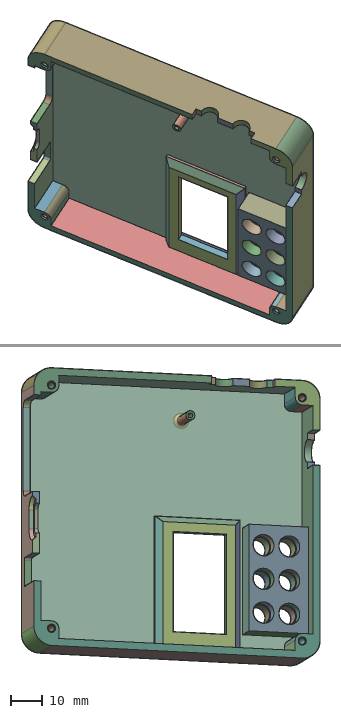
import cadquery as cq
import math


width = 96.0
length = 91.0
depth = 14.8
wall = 2.4
floor = 2.0
corner_radius = 6.0

screw_inset_x = 6.0
screw_inset_z = 5.7
boss_radius = 2.4
screw_diameter = 2.1
screw_mouth_diameter = 2.6
screw_depth = 9.6
screw_mouth_depth = 0.7

post_x = 53.0
post_z = 78.0
post_diameter = 3.0
post_bore = 1.6
post_height = 13.0
post_fillet = 1.0

frame_left = 44.0
frame_right = 72.6
frame_top = 46.4
frame_height = 5.0
frame_bevel = 2.1
window_left = 49.5
window_right = 67.4
window_bottom = 8.4
window_top = 41.2
window_land = 2.3

block_left = 73.6
block_bottom = 9.0
block_top = 44.0
block_height = 9.6
button_columns = 2
button_rows = 3
button_first_x = 78.5
button_first_z = 15.3
button_pitch_x = 8.6
button_pitch_z = 11.0
button_hole = 6.3
button_mouth = 6.9
button_shoulder_height = 5.7

left_rim_height = depth - 1.7
long_notch_bottom = 50.5
long_notch_top = 81.9
long_notch_height = 2.2
long_notch_radius = 2.0
short_notch_bottom = 20.9
short_notch_top = 30.3
short_notch_height = 3.5
short_notch_radius = 0.7
port_z = 41.9
port_straight = 6.2
port_radius = 1.8
port_dish_outer_radius = 4.1
port_dish_inner_radius = 3.1
port_dish_depth = 1.2

right_notch_z = 69.2
right_notch_width = 11.5
right_notch_height = 8.4
right_notch_diameter = 7.3

top_notch_left = 59.6
top_notch_right = 80.9
top_notch_height = depth - 2.6
channel_diameter = 5.8
channel_spacing = 11.4

overcut = 1.0


def block(x0, x1, z0, z1, h0, h1):
    """Box between two X values, two Z values and two heights."""
    return cq.Workplane("XY").box(x1 - x0, h1 - h0, z1 - z0, centered=False).translate((x0, -h1, z0))


def pin(x, z, diameter, h0, h1):
    """Cylinder along Y, centred on (x, z), between two heights."""
    return cq.Workplane("XZ", origin=(x, -h0, z)).circle(diameter / 2).extrude(h1 - h0)


def outer_body():
    return block(0, width, 0, length, 0, depth).edges("|Y").fillet(corner_radius)


def cavity():
    """Interior of the shell, stepping around the rounded corner bosses."""
    return block(wall, width - wall, wall, length - wall, floor, depth).cut(corner_bosses())


def corner_bosses():
    """Four pads filling the corners, each rounded about its screw on the inner side."""
    reach_x = screw_inset_x + boss_radius
    reach_z = screw_inset_z + boss_radius
    pad = block(0, reach_x, 0, reach_z, 0, depth)
    pad = pad.edges("|Y and >X and >Z").fillet(boss_radius)
    pair = pad.union(pad.mirror("YZ", (width / 2, 0, 0)))
    return pair.union(pair.mirror("XY", (0, 0, length / 2)))


def screw_holes():
    """Blind stepped holes, wider at the rim."""
    holes = cq.Workplane("XY")
    for x in (screw_inset_x, width - screw_inset_x):
        for z in (screw_inset_z, length - screw_inset_z):
            holes = holes.union(pin(x, z, screw_diameter, depth - screw_depth, depth))
            holes = holes.union(pin(x, z, screw_mouth_diameter, depth - screw_mouth_depth, depth))
    return holes


def post():
    """Standoff with a fillet flaring into the floor, turned about its own axis."""
    radius = post_diameter / 2
    foot_radius = radius + post_fillet
    profile = (
        cq.Workplane("XY")
        .moveTo(0, 0)
        .lineTo(foot_radius, 0)
        .lineTo(foot_radius, -floor)
        .radiusArc((radius, -floor - post_fillet), -post_fillet)
        .lineTo(radius, -post_height)
        .lineTo(0, -post_height)
        .close()
    )
    return profile.revolve(360, (0, 0, 0), (0, 1, 0)).translate((post_x, 0, post_z))


def display_frame():
    """Raised frame running into the bottom wall, bevelled on its three free sides."""
    shoulder = frame_height - frame_bevel
    base = block(frame_left, frame_right, wall / 2, frame_top, 0, frame_height)
    side_profile = (
        cq.Workplane("XY")
        .moveTo(frame_left, 0)
        .lineTo(frame_left, -shoulder)
        .lineTo(frame_left + frame_bevel, -frame_height)
        .lineTo(frame_right - frame_bevel, -frame_height)
        .lineTo(frame_right, -shoulder)
        .lineTo(frame_right, 0)
        .close()
        .extrude(frame_top)
    )
    top_profile = (
        cq.Workplane("YZ")
        .moveTo(0, 0)
        .lineTo(-frame_height, 0)
        .lineTo(-frame_height, frame_top - frame_bevel)
        .lineTo(-shoulder, frame_top)
        .lineTo(0, frame_top)
        .close()
        .extrude(width)
    )
    return base.intersect(side_profile).intersect(top_profile)


def display_window():
    """Straight window through the frame, flaring at 45 degrees towards the back face."""
    flare = frame_height - window_land
    window = block(window_left, window_right, window_bottom, window_top, 0, frame_height)
    center_x = (window_left + window_right) / 2
    center_z = (window_bottom + window_top) / 2
    size_x = window_right - window_left
    size_z = window_top - window_bottom
    funnel = (
        cq.Workplane("XZ", origin=(center_x, 0, center_z))
        .rect(size_x + 2 * flare, size_z + 2 * flare)
        .workplane(offset=flare)
        .rect(size_x, size_z)
        .loft(ruled=True)
    )
    return window.union(funnel)


def button_block():
    return block(block_left, width - wall / 2, block_bottom, block_top, 0, block_height)


def button_holes():
    """Grid of through holes, narrowed below a shoulder."""
    holes = cq.Workplane("XY")
    for column in range(button_columns):
        for row in range(button_rows):
            x = button_first_x + column * button_pitch_x
            z = button_first_z + row * button_pitch_z
            holes = holes.union(pin(x, z, button_hole, 0, block_height))
            holes = holes.union(pin(x, z, button_mouth, button_shoulder_height, block_height))
    return holes


def left_wall_openings():
    """Lowered rim, the two notches and the connector port in the -X wall."""
    top = depth + overcut
    rim = block(0, wall, short_notch_bottom, long_notch_top, left_rim_height, top)
    long_notch = block(0, wall, long_notch_bottom, long_notch_top, long_notch_height, top)
    short_notch = block(0, wall, short_notch_bottom, short_notch_top, short_notch_height, top)
    long_notch = long_notch.edges("|X and >Y").fillet(long_notch_radius)
    short_notch = short_notch.edges("|X and >Y").fillet(short_notch_radius)
    return rim.union(long_notch).union(short_notch).union(connector_port())


def port_stadium(radius):
    """Stadium along Z, centred on the lowered rim of the -X wall."""
    sketch = cq.Workplane("YZ", origin=(0, -left_rim_height, port_z))
    return sketch.slot2D(port_straight + 2 * radius, 2 * radius, 90)


def connector_port():
    """Slot through the wall with a tapered dish on its outer side."""
    taper = math.degrees(math.atan2(port_dish_outer_radius - port_dish_inner_radius, port_dish_depth))
    slot = port_stadium(port_radius).extrude(wall)
    dish = port_stadium(port_dish_outer_radius).extrude(port_dish_depth, taper=taper)
    return slot.union(dish)


def right_wall_notch():
    """Rectangular cable notch with a half-round seat in the +X wall."""
    low = right_notch_z - right_notch_width / 2
    high = right_notch_z + right_notch_width / 2
    notch = block(width - wall, width, low, high, right_notch_height, depth)
    seat = cq.Workplane("YZ", origin=(width - wall, -right_notch_height, right_notch_z))
    return notch.union(seat.circle(right_notch_diameter / 2).extrude(wall))


def top_wall_notch():
    """Shallow notch with two half-round cable channels in the +Z wall."""
    center_x = (top_notch_left + top_notch_right) / 2
    notch = block(top_notch_left, top_notch_right, length - wall, length, top_notch_height, depth)
    channels = (
        cq.Workplane("XY", origin=(center_x, -top_notch_height, length - wall))
        .pushPoints([(-channel_spacing / 2, 0), (channel_spacing / 2, 0)])
        .circle(channel_diameter / 2)
        .extrude(wall)
    )
    return notch.union(channels)


body = outer_body().cut(cavity()).union(post()).union(display_frame()).union(button_block())
body = body.cut(screw_holes()).cut(pin(post_x, post_z, post_bore, 0, post_height))
body = body.cut(display_window()).cut(button_holes())
result = body.cut(left_wall_openings()).cut(right_wall_notch()).cut(top_wall_notch())